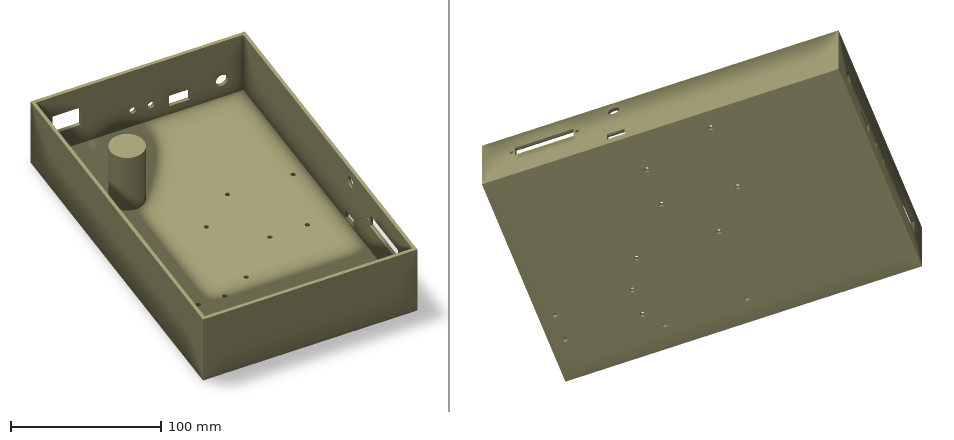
import cadquery as cq

LENGTH = 253.0
WIDTH = 160.0
HEIGHT = 53.0
WALL = 2.5
FLOOR = 5.0

POST_DIAMETER = 25.0
POST_CENTER = (67.65, 37.6)
POST_TOP = 50.75

FLOOR_HOLE_DIAMETER = 3.5
BOARD_ORIGIN = (94.0, 99.2)
BOARD_OFFSETS = [(0.0, 0.0), (1.3, 48.3), (52.1, 5.1), (52.1, 33.0)]
LARGE_PATTERN_CENTER = (146.75, 44.5)
LARGE_PATTERN_SPACING = (58.4, 54.0)
SMALL_PATTERN_CENTER = (214.5, 40.0)
SMALL_PATTERN_SPACING = (55.0, 19.8)

END_ROUND_DIAMETER = 9.0
END_ROUND_CENTER = (141.5, 19.5)
END_SOCKET_SIZE = (15.3, 9.0)
END_SOCKET_CENTER = (109.7, 16.5)
END_SWITCH_SIZE = (21.0, 15.0)
END_SWITCH_CENTER = (25.5, 28.5)
LAMP_DIAMETER = 5.0
LAMP_CENTERS = [(88.7, 18.2), (75.0, 18.5)]

BACK_ROUND_DIAMETER = 8.0
BACK_ROUND_CENTER = (159.7, 42.6)
BACK_SOCKET_SIZE = (12.5, 7.0)
BACK_SOCKET_CENTER = (158.0, 9.7)
CONNECTOR_SIZE = (41.3, 9.5)
CONNECTOR_CENTER = (208.8, 30.8)
CONNECTOR_SCREW_DIAMETER = 2.84
CONNECTOR_SCREW_SPACING = 46.7


def make_tray():
    """Box with a floor, four walls and an open top."""
    body = cq.Workplane("XY").box(LENGTH, WIDTH, HEIGHT, centered=False)
    cavity = (
        cq.Workplane("XY", origin=(WALL, WALL, FLOOR))
        .box(LENGTH - 2 * WALL, WIDTH - 2 * WALL, HEIGHT - FLOOR, centered=False)
    )
    return body.cut(cavity)


def make_post():
    """Round post, rooted in the floor."""
    return cq.Workplane("XY").center(*POST_CENTER).circle(POST_DIAMETER / 2).extrude(POST_TOP)


def floor_hole_cutters():
    """Pins for every screw hole in the floor."""
    board_points = [(BOARD_ORIGIN[0] + dx, BOARD_ORIGIN[1] + dy) for dx, dy in BOARD_OFFSETS]
    radius = FLOOR_HOLE_DIAMETER / 2
    cutters = cq.Workplane("XY").pushPoints(board_points).circle(radius).extrude(FLOOR)
    patterns = [
        (LARGE_PATTERN_CENTER, LARGE_PATTERN_SPACING),
        (SMALL_PATTERN_CENTER, SMALL_PATTERN_SPACING),
    ]
    for center, spacing in patterns:
        pins = (
            cq.Workplane("XY")
            .center(*center)
            .rarray(*spacing, 2, 2)
            .circle(radius)
            .extrude(FLOOR)
        )
        cutters = cutters.add(pins)
    return cutters.combine()


def round_cutter(plane, center, diameter):
    """Cylinder one wall thick, extruded from the given wall plane."""
    return plane.center(*center).circle(diameter / 2).extrude(WALL)


def rectangle_cutter(plane, center, size):
    """Block one wall thick, extruded from the given wall plane."""
    return plane.center(*center).rect(*size).extrude(WALL)


def cut_end_wall(body):
    """Round opening, socket, switch and two lamp holes."""
    outer_face = cq.Workplane("YZ")
    body = body.cut(round_cutter(outer_face, END_ROUND_CENTER, END_ROUND_DIAMETER))
    body = body.cut(rectangle_cutter(outer_face, END_SOCKET_CENTER, END_SOCKET_SIZE))
    body = body.cut(rectangle_cutter(outer_face, END_SWITCH_CENTER, END_SWITCH_SIZE))
    for center in LAMP_CENTERS:
        body = body.cut(round_cutter(outer_face, center, LAMP_DIAMETER))
    return body


def cut_back_wall(body):
    """Round opening, socket and connector slot with a screw hole at each end."""
    outer_face = cq.Workplane("XZ", origin=(0, WIDTH, 0))
    body = body.cut(round_cutter(outer_face, BACK_ROUND_CENTER, BACK_ROUND_DIAMETER))
    body = body.cut(rectangle_cutter(outer_face, BACK_SOCKET_CENTER, BACK_SOCKET_SIZE))
    body = body.cut(rectangle_cutter(outer_face, CONNECTOR_CENTER, CONNECTOR_SIZE))
    for side in (-1, 1):
        screw_x = CONNECTOR_CENTER[0] + side * CONNECTOR_SCREW_SPACING / 2
        screw_center = (screw_x, CONNECTOR_CENTER[1])
        body = body.cut(round_cutter(outer_face, screw_center, CONNECTOR_SCREW_DIAMETER))
    return body


tray = make_tray().union(make_post()).cut(floor_hole_cutters())
result = cut_back_wall(cut_end_wall(tray))